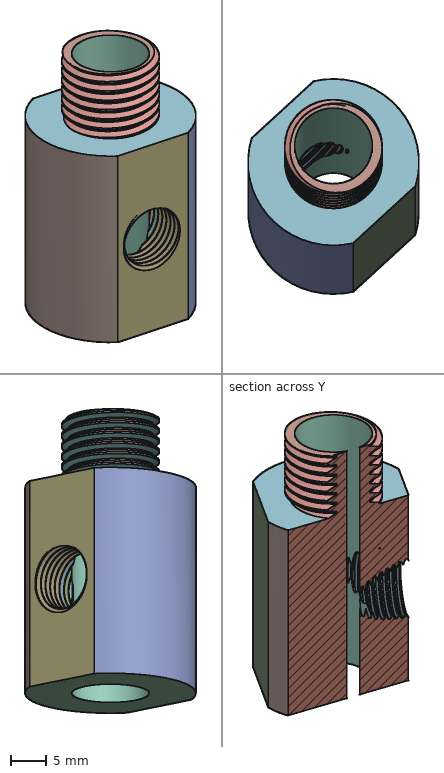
import cadquery as cq
import math

body_height = 30.0
across_flats = 21.0
flat_distance = across_flats / 2
body_radius = flat_distance / math.cos(math.radians(30))
flat_angle = -21.0

spigot_height = 10.0
spigot_major_diameter = 13.85
spigot_minor_diameter = 12.14
spigot_pitch = 1.5
spigot_crest_width = 0.27
spigot_crest_below_top = 0.69
bore_diameter = 11.0

port_height = 15.0
port_major_diameter = 10.15
port_minor_diameter = 9.04
port_pitch = 1.0
port_crest_width = 0.24
port_crest_offset = 0.6

flank_slope = math.tan(math.radians(30))
thread_overlap = 0.05

total_height = body_height + spigot_height


def make_threaded_rod(major_diameter, minor_diameter, pitch, crest_width, turns):
    """Right-handed threaded rod along +Z, its first crest starting on +X at z = 0.

    The plain core reaches one pitch past both ends of the thread.
    """
    length = turns * pitch
    crest_radius = major_diameter / 2
    root_radius = minor_diameter / 2 - thread_overlap
    crest_half = crest_width / 2
    root_half = crest_half + (crest_radius - root_radius) * flank_slope
    ridge_profile = cq.Workplane("XZ").polyline([
        (root_radius, -root_half),
        (crest_radius, -crest_half),
        (crest_radius, crest_half),
        (root_radius, root_half),
    ]).close()
    helix = cq.Workplane(cq.Wire.makeHelix(pitch, length, root_radius))
    ridge = ridge_profile.sweep(helix, isFrenet=True)
    core = (
        cq.Workplane("XY").workplane(offset=-pitch)
        .circle(minor_diameter / 2).extrude(length + 2 * pitch)
    )
    return core.union(ridge)


def make_body():
    bar = cq.Workplane("XY").circle(body_radius).extrude(body_height)
    flats = cq.Workplane("XY").rect(across_flats, 2 * body_radius).extrude(body_height)
    return bar.intersect(flats.rotate((0, 0, 0), (0, 0, 1), flat_angle))


def make_spigot():
    turns = math.ceil(spigot_height / spigot_pitch) + 2
    first_crest = total_height - spigot_crest_below_top - (turns - 1) * spigot_pitch
    rod = make_threaded_rod(
        spigot_major_diameter, spigot_minor_diameter, spigot_pitch, spigot_crest_width, turns
    ).translate((0, 0, first_crest))
    envelope = (
        cq.Workplane("XY").workplane(offset=body_height)
        .circle(spigot_major_diameter).extrude(spigot_height)
    )
    return rod.intersect(envelope)


def make_port_cutter():
    """Tapped hole shape, from inside the bore out through the drilled flat."""
    turns = math.ceil(flat_distance / port_pitch) + 1
    rod = make_threaded_rod(
        port_major_diameter, port_minor_diameter, port_pitch, port_crest_width, turns
    ).translate((0, 0, port_crest_offset))
    return (
        rod.rotate((0, 0, 0), (0, 1, 0), 90)
        .rotate((0, 0, 0), (0, 0, 1), flat_angle)
        .translate((0, 0, port_height))
    )


bore = cq.Workplane("XY").circle(bore_diameter / 2).extrude(total_height)
result = make_body().union(make_spigot()).cut(bore).cut(make_port_cutter())